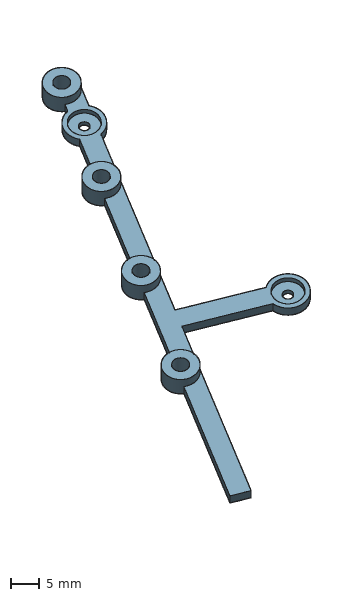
import cadquery as cq

total_length = 102.5
boss_height = 4.0
bar_thickness = boss_height / 2

boss_diameter = 7.0
boss_hole_diameter = 3.2
boss_count = 4
boss_pitch = 23.0
boss_radius = boss_diameter / 2

bar_width = 4.0
bar_back_y = boss_radius
bar_middle_y = bar_back_y - bar_width / 2
bar_end_x = total_length - boss_radius

pad_diameter = 2 * bar_width
pad_hole_diameter = 2.0
recess_diameter = 6.0
recess_depth = 1.0
near_pad_x = 8.5
arm_x = 56.9
arm_pad_y = 24.0
pad_centers = [(near_pad_x, bar_middle_y), (arm_x, arm_pad_y)]

boss_centers = [(index * boss_pitch, 0) for index in range(boss_count)]


def discs(centers, diameter, height, base_z=0):
    """Equal upright cylinders standing on base_z."""
    return (
        cq.Workplane("XY", origin=(0, 0, base_z))
        .pushPoints(centers)
        .circle(diameter / 2)
        .extrude(height)
    )


def plate(x_start, x_end, y_start, y_end):
    """Rectangular strip with the thickness of the bar."""
    return cq.Workplane("XY").box(
        x_end - x_start, y_end - y_start, bar_thickness, centered=False
    ).translate((x_start, y_start, 0))


bar = plate(0, bar_end_x, bar_back_y - bar_width, bar_back_y)
arm = plate(arm_x - bar_width / 2, arm_x + bar_width / 2, bar_middle_y, arm_pad_y)
body = bar.union(arm)

body = body.union(discs(boss_centers, boss_diameter, boss_height))
body = body.union(discs(pad_centers, pad_diameter, bar_thickness))

body = body.cut(discs(boss_centers, boss_hole_diameter, boss_height))
body = body.cut(discs(pad_centers, pad_hole_diameter, bar_thickness))
recess_floor_z = bar_thickness - recess_depth
result = body.cut(discs(pad_centers, recess_diameter, recess_depth, recess_floor_z))